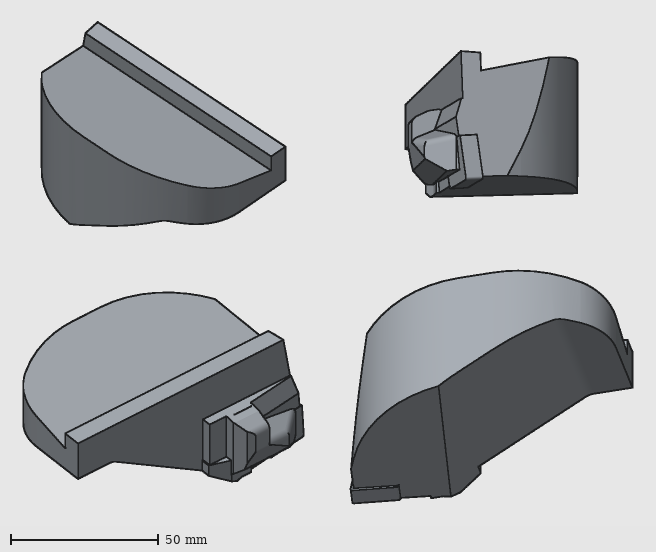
import cadquery as cq
import math

REACH = 196.1

length = 98.1
depth = 48.1
height = 51.0
flat_start = 49.5
flat_end = 61.4
end_radius = 20.2
tangent_y = -20.1

rail_width = 7.0
rail_top = 46.4
top_tilt = 15.0

foot_z = 1.2
foot_rise = 0.105
relief_start = 34.1
relief_end = 83.0
relief_z = 30.9
relief_blend = 5.9

flank_x = 0.84
flank_lean = 0.17
flank_clearance = 0.14

rake_y = 0.1
rake_x = 0.13
rake_z = 0.09

nose_top = 29.4
nose_length = 26.5
nose_depth = 9.8
nose_bevel_z = 22.6
nose_bevel_run = 0.35
block_end = 43.7
shoulder_end = 33.8
shoulder_depth = 4.7
block_depth = 3.6
lug_depth = 6.3
lug_peak_x = 36.3
lug_end = 44.1
lug_top = 11.8

insert_left = -0.1
insert_side = 16.4
insert_lean = 2.2
insert_height = 15.8
insert_back = (0.93, -6.1, 0.8)
insert_round = 0.8

clamp_wall_x = 25.5
clamp_back = 13.4
jaw_plan = [(5.4, 0.0), (5.4, 2.4), (15.2, 11.3), (clamp_wall_x, clamp_back), (clamp_wall_x, 0.0)]
arm_plan = [
    (clamp_wall_x, 0.0), (clamp_wall_x, clamp_back), (31.5, clamp_back),
    (34.1, 12.0), (36.5, 7.3), (36.5, 0.0),
]
clamp_side = [
    (0.0, 29.4), (4.5, 29.4), (7.6, 28.8), (clamp_back, 25.9),
    (clamp_back, 17.65), (11.1, 9.8), (5.0, 4.5), (0.0, 4.5),
]
clamp_round_diameter = 6.4
jaw_root = (clamp_wall_x, 5.3, 22.4)
jaw_slope_x = 0.35
jaw_slope_y = -0.46
jaw_rim_low = 14.7
jaw_round = 3.1


def trim_beyond(body, origin, normal):
    """Remove everything on the side of a plane that its normal points to."""
    plane = cq.Plane(origin=origin, normal=normal)
    return body.cut(cq.Workplane(plane).rect(2 * REACH, 2 * REACH).extrude(REACH))


def side_prism(points, x_start, x_end):
    """Extrude a Y-Z outline along X."""
    return cq.Workplane("YZ", origin=(x_start, 0, 0)).polyline(points).close().extrude(x_end - x_start)


def front_prism(points):
    """Extrude an X-Z outline through the whole depth."""
    return cq.Workplane("XZ").polyline(points).close().extrude(REACH, both=True)


def polar(centre, radius, angle):
    return (centre[0] + radius * math.cos(angle), centre[1] + radius * math.sin(angle))


def make_head():
    left_centre = (flat_start, 0.0)
    right_centre = (flat_end, 0.0)
    end_x = length - end_radius
    blend_angle = -math.acos((end_x - flat_end) / (depth - end_radius))
    end_centre = polar(right_centre, depth - end_radius, blend_angle)
    tangent_angle = math.pi + math.asin(-tangent_y / depth)
    tangent_point = polar(left_centre, depth, tangent_angle)
    line_slope = -tangent_y / (flat_start - tangent_point[0])
    line_end_x = tangent_point[0] + tangent_y * line_slope
    head = (
        cq.Workplane("XY")
        .moveTo(line_end_x, 0)
        .lineTo(*tangent_point)
        .threePointArc(polar(left_centre, depth, (tangent_angle + 1.5 * math.pi) / 2), (flat_start, -depth))
        .lineTo(flat_end, -depth)
        .threePointArc(
            polar(right_centre, depth, (blend_angle - math.pi / 2) / 2),
            polar(right_centre, depth, blend_angle),
        )
        .threePointArc(polar(end_centre, end_radius, blend_angle / 2), (length, end_centre[1]))
        .lineTo(length, 0)
        .close()
        .extrude(height)
    )
    step_z = height - (depth - rail_width) * math.tan(math.radians(top_tilt))
    section = [(0, 0), (0, rail_top), (-rail_width, rail_top), (-rail_width, step_z), (-depth, height), (-depth, 0)]
    return head.intersect(side_prism(section, -length, 2 * length))


def make_nose():
    nose = cq.Workplane("XY").box(nose_length, nose_depth, nose_top, centered=False)
    nose = trim_beyond(nose, (0, rake_y, 0), (-rake_x, 1, -rake_z))
    bevel_y = rake_y + (rake_z + nose_bevel_run) * nose_bevel_z
    return trim_beyond(nose, (0, bevel_y, 0), (-rake_x, 1, nose_bevel_run))


def make_lug():
    block = cq.Workplane("XY").box(block_end - nose_length, block_depth, nose_top, centered=False)
    block = block.translate((nose_length, 0, 0))
    lug_start_y = rake_y + rake_x * nose_length
    lug_plan = [
        (nose_length, 0), (nose_length, lug_start_y), (lug_peak_x, lug_depth), (lug_end, block_depth), (lug_end, 0),
    ]
    shoulder = cq.Workplane("XY").box(shoulder_end - nose_length, shoulder_depth, nose_top, centered=False)
    block = block.union(shoulder.translate((nose_length, 0, 0)))
    return block.union(cq.Workplane("XY").polyline(lug_plan).close().extrude(lug_top))


def make_jaw():
    """Low front part of the clamp, with a sloping top and a rounded rim."""
    jaw = cq.Workplane("XY").polyline(jaw_plan).close().extrude(nose_top)
    jaw = trim_beyond(jaw, jaw_root, (-jaw_slope_x, -jaw_slope_y, 1))
    rim = cq.selectors.BoxSelector((0, jaw_root[1], jaw_rim_low), (clamp_wall_x - 1, REACH, nose_top))
    jaw = jaw.edges(rim).fillet(jaw_round)
    return trim_beyond(jaw, (0, rake_y, 0), (rake_x, -1, rake_z))


def make_clamp():
    side = side_prism(clamp_side, 0, block_end)
    side = side.edges(cq.selectors.BoxSelector(
        (0, clamp_back - 1, 0), (block_end, clamp_back + 1, nose_top)
    )).edges("|X").fillet(clamp_round_diameter / 2)
    arm = cq.Workplane("XY").polyline(arm_plan).close().extrude(nose_top)
    return arm.union(make_jaw()).intersect(side)


def trim_outside(body):
    """Cut the left flank, the sloping foot and the relief under the right half."""
    body = trim_beyond(body, (flank_x, 0, 0), (-1, -flank_clearance, flank_lean))
    body = trim_beyond(body, (0, 0, foot_z), (0, -foot_rise, -1))
    slope = (relief_end - relief_start) / (relief_z - foot_z)
    low_z = -nose_top
    low_x = relief_start + (low_z - foot_z) * slope
    relief = front_prism([(low_x, low_z), (relief_end, relief_z), (REACH, relief_z), (REACH, low_z)])
    corner = cq.selectors.NearestToPointSelector((relief_end, 0, relief_z))
    return body.cut(relief.edges(corner).fillet(relief_blend))


def make_insert():
    corners = [
        (insert_left, 0.0),
        (insert_left + insert_side, 0.0),
        (insert_left + insert_side + insert_lean, insert_height),
        (insert_left + insert_lean, insert_height),
    ]
    rake_face = [cq.Vector(x, rake_y + rake_x * x + rake_z * z, z) for x, z in corners]
    wire = cq.Wire.makePolygon(rake_face, close=True)
    solid = cq.Solid.extrudeLinear(wire, [], cq.Vector(*insert_back))
    return cq.Workplane(obj=solid).edges(cq.selectors.ParallelDirSelector(
        cq.Vector(*insert_back)
    )).fillet(insert_round)


insert = make_insert()
holder = trim_outside(make_head().union(make_nose()).union(make_lug()))
holder = holder.union(make_clamp()).cut(insert)

result = cq.Compound.makeCompound([holder.val(), insert.val()])